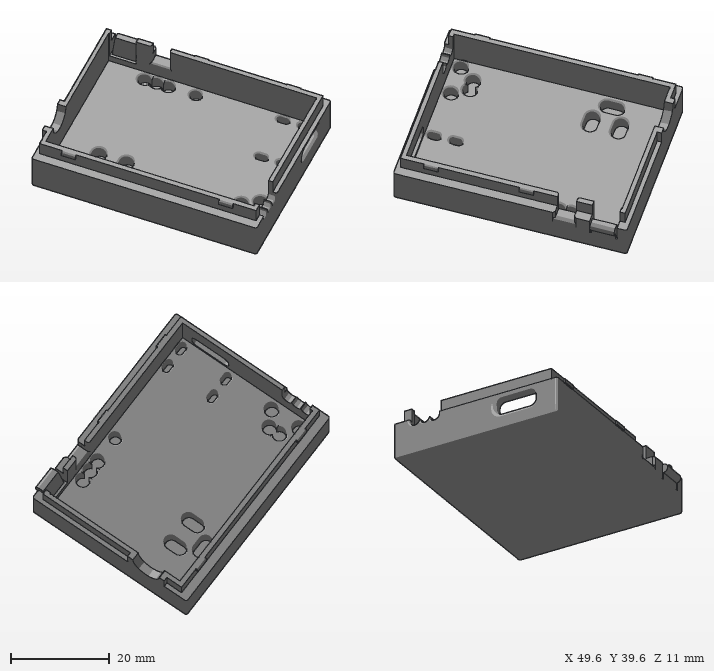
import cadquery as cq
LENGTH = 49.6
WIDTH = 38.6
HEIGHT = 11.0
FLOOR = 3.0
EDGE_RADIUS = 0.5

SIDE_WALL = 1.9
LONG_WALL = 3.05
SIDE_STEP = 0.95
LONG_STEP = 1.95
STEP_Z = 8.05

CABLE_Y = 10.15
CABLE_RADIUS = 3.25
CABLE_BLOCK_Y = (5.6, 14.8)

PLUG_X = 13.3
PLUG_WIDTH = 4.05
PLUG_Z = 6.1
PLUG_SIDE_FLARE = 0.45
PLUG_FLOOR_RADIUS = 0.95
PLUG_INNER_RADIUS = 0.5

LATCH_GAP_X = (2.1, 7.95)
LATCH_CLEARANCE = 0.35
LATCH_GAP_Z = 4.45
LATCH_BUMP_RADIUS = 1.0
LATCH_BUMP_Z = 6.95
LATCH_TOP_DEPTH = 0.95
LATCH_FOOT_DEPTH = 2.45

JACKS = [(9.4, 1.2), (7.15, 1.1), (4.8, 1.1)]
JACK_Z = 7.75
JACK_EDGE_RADIUS = 0.4

WINDOW_Y = 28.6
WINDOW_Z = 5.2
WINDOW_LENGTH = 9.25
WINDOW_HEIGHT = 3.25
WINDOW_CORNER_RADIUS = 1.3
WINDOW_EDGE_RADIUS = 0.95

TAB_LENGTH = 3.1
TAB_HEIGHT = 1.0
FRONT_TAB_REACH = 0.5
BACK_TAB_REACH = 0.4
FRONT_TAB_X = [7.5, 42.1]
BACK_TAB_X = [21.85, 42.1]

POCKET_DEPTH = 2.5
POCKET_RIM = 0.55
SMALL_ROUND = (3.55, 3.55)
ROW_ROUND = (3.85, 3.85)
LARGE_ROUND = (3.95, 3.95)
LARGE_OBLONG = (6.05, 3.95)
SMALL_OBLONG = (3.75, 2.6)
ROW_SPACING = 2.6
OBLONG_OFFSET = 3.05
SMALL_ROUND_CENTRES = [(21.95, 33.75)]
ROW_CENTRES = [(PLUG_X + step * ROW_SPACING, 33.7) for step in (-1, 0, 1)]
LARGE_ROUND_CENTRES = [(45.65, 11.7), (42.2, 9.75), (42.25, 7.35), (45.65, 4.8)]
SMALL_OBLONG_CENTRES = [(x, y) for x in (40.95, 45.65) for y in (23.1, 34.3)]
UPRIGHT_OBLONG_CENTRES = [(PLUG_X + side * OBLONG_OFFSET, CABLE_Y) for side in (-1, 1)]
LYING_OBLONG_CENTRES = [(PLUG_X, 5.5)]

CAVITY_BACK_Y = WIDTH - LONG_WALL
CAVITY_RIGHT_X = LENGTH - SIDE_WALL
LIP_BACK_Y = WIDTH - LONG_STEP

SELECT_MARGIN = 0.05


def box(x, y, z):
    """Box spanning the given (low, high) ranges."""
    size = (x[1] - x[0], y[1] - y[0], z[1] - z[0])
    return cq.Workplane("XY").box(*size, centered=False).translate((x[0], y[0], z[0]))


def bore_half_section(radius, rim, depth):
    """Half section of a bore sunk from z = 0, its rim rounded outwards."""
    return (
        cq.Workplane("XZ")
        .lineTo(radius + rim, 0)
        .radiusArc((radius, -rim), -rim)
        .lineTo(radius, -depth)
        .lineTo(0, -depth)
        .close()
    )


def rounded_bore(radius, rim, depth, straight=0):
    """Bore sunk from z = 0; a straight length above zero stretches it along X."""
    end = bore_half_section(radius, rim, depth).revolve(360, (0, 0, 0), (0, 1, 0))
    if straight == 0:
        return end
    side = bore_half_section(radius, rim, depth).extrude(straight / 2, both=True)
    middle = side.union(side.mirror("YZ")).rotate((0, 0, 0), (0, 0, 1), 90)
    left_end = end.translate((-straight / 2, 0, 0))
    right_end = end.translate((straight / 2, 0, 0))
    return middle.union(left_end).union(right_end)


def tray():
    base = box((0, LENGTH), (0, WIDTH), (0, STEP_Z))
    base = base.edges("|Z").fillet(EDGE_RADIUS)
    base = base.faces("<Z").edges().fillet(EDGE_RADIUS)
    lip = box((SIDE_STEP, LENGTH - SIDE_STEP), (LONG_STEP, LIP_BACK_Y), (FLOOR, HEIGHT))
    cable_block = box((0, SIDE_WALL), CABLE_BLOCK_Y, (FLOOR, HEIGHT))
    cavity = box((SIDE_WALL, CAVITY_RIGHT_X), (LONG_WALL, CAVITY_BACK_Y), (FLOOR, HEIGHT))
    return base.union(lip).union(cable_block).cut(cavity)


def cable_notch():
    return (
        cq.Workplane("YZ")
        .center(CABLE_Y, HEIGHT)
        .circle(CABLE_RADIUS)
        .extrude(SIDE_WALL)
    )


def plug_notch():
    left = PLUG_X - PLUG_WIDTH / 2
    right = PLUG_X + PLUG_WIDTH / 2
    channel = box((left, right), (CAVITY_BACK_Y, WIDTH), (PLUG_Z, HEIGHT))
    side_flare = (
        cq.Workplane("XY", origin=(0, 0, PLUG_Z))
        .moveTo(left - PLUG_SIDE_FLARE, WIDTH)
        .lineTo(left, WIDTH - PLUG_SIDE_FLARE)
        .lineTo(right, WIDTH - PLUG_SIDE_FLARE)
        .lineTo(right + PLUG_SIDE_FLARE, WIDTH)
        .close()
        .extrude(HEIGHT - PLUG_Z)
    )
    floor_flare = (
        cq.Workplane("YZ", origin=(left - PLUG_SIDE_FLARE, 0, 0))
        .moveTo(WIDTH, PLUG_Z)
        .lineTo(WIDTH, PLUG_Z - PLUG_FLOOR_RADIUS)
        .radiusArc((WIDTH - PLUG_FLOOR_RADIUS, PLUG_Z), -PLUG_FLOOR_RADIUS)
        .close()
        .extrude(PLUG_WIDTH + 2 * PLUG_SIDE_FLARE)
    )
    return channel.union(side_flare).union(floor_flare)


def round_plug_notch_inside(body):
    half_width = PLUG_WIDTH / 2 + SELECT_MARGIN
    inner_edges = cq.selectors.BoxSelector(
        (PLUG_X - half_width, CAVITY_BACK_Y - SELECT_MARGIN, PLUG_Z - SELECT_MARGIN),
        (PLUG_X + half_width, CAVITY_BACK_Y + SELECT_MARGIN, HEIGHT - SELECT_MARGIN),
    )
    return body.edges(inner_edges).fillet(PLUG_INNER_RADIUS)


def latch_gap():
    return box(LATCH_GAP_X, (CAVITY_BACK_Y, WIDTH), (LATCH_GAP_Z, HEIGHT))


def latch():
    left = LATCH_GAP_X[0] + LATCH_CLEARANCE
    right = LATCH_GAP_X[1] - LATCH_CLEARANCE
    return (
        cq.Workplane("YZ", origin=(left, 0, 0))
        .moveTo(WIDTH, LATCH_GAP_Z)
        .lineTo(WIDTH, LATCH_BUMP_Z - LATCH_BUMP_RADIUS)
        .threePointArc(
            (WIDTH + LATCH_BUMP_RADIUS, LATCH_BUMP_Z),
            (WIDTH, LATCH_BUMP_Z + LATCH_BUMP_RADIUS),
        )
        .lineTo(WIDTH - LATCH_TOP_DEPTH, LATCH_BUMP_Z + LATCH_BUMP_RADIUS)
        .lineTo(WIDTH - LATCH_FOOT_DEPTH, LATCH_GAP_Z)
        .close()
        .extrude(right - left)
    )


def jack_notch():
    first_y, first_radius = JACKS[0]
    last_y, last_radius = JACKS[-1]
    y_range = (last_y - last_radius, first_y + first_radius)
    notch = box((CAVITY_RIGHT_X, LENGTH), y_range, (JACK_Z, HEIGHT))
    for y, radius in JACKS:
        bore = rounded_bore(radius, JACK_EDGE_RADIUS, SIDE_WALL)
        bore = bore.rotate((0, 0, 0), (0, 1, 0), 90).translate((LENGTH, y, JACK_Z))
        notch = notch.union(bore)
    return notch


def window():
    opening = cq.Workplane("YZ", origin=(CAVITY_RIGHT_X, 0, 0)).center(WINDOW_Y, WINDOW_Z)
    opening = opening.rect(WINDOW_LENGTH, WINDOW_HEIGHT).extrude(SIDE_WALL)
    return opening.edges("|X").fillet(WINDOW_CORNER_RADIUS)


def round_window_outside(body):
    half_length = WINDOW_LENGTH / 2 + SELECT_MARGIN
    half_height = WINDOW_HEIGHT / 2 + SELECT_MARGIN
    outer_edges = cq.selectors.BoxSelector(
        (LENGTH - SELECT_MARGIN, WINDOW_Y - half_length, WINDOW_Z - half_height),
        (LENGTH + SELECT_MARGIN, WINDOW_Y + half_length, WINDOW_Z + half_height),
    )
    return body.edges(outer_edges).fillet(WINDOW_EDGE_RADIUS)


def snap_tab(x, wall_y, reach):
    """Tab with a quarter-round top; a negative reach points towards -Y."""
    tip_y = wall_y + reach
    return (
        cq.Workplane("YZ", origin=(x - TAB_LENGTH / 2, 0, 0))
        .moveTo(wall_y, HEIGHT)
        .radiusArc((tip_y, HEIGHT - abs(reach)), reach)
        .lineTo(tip_y, HEIGHT - TAB_HEIGHT)
        .lineTo(wall_y, HEIGHT - TAB_HEIGHT)
        .close()
        .extrude(TAB_LENGTH)
    )


def pocket(x, y, length, width, angle):
    """Flat-bottomed floor pocket with a rounded rim; equal sides make it round."""
    bore = rounded_bore(width / 2 - POCKET_RIM, POCKET_RIM, POCKET_DEPTH, length - width)
    return bore.rotate((0, 0, 0), (0, 0, 1), angle).translate((x, y, FLOOR))


def floor_pockets():
    cutters = []
    for centres, length, width, angle in [
        (SMALL_ROUND_CENTRES, *SMALL_ROUND, 0),
        (ROW_CENTRES, *ROW_ROUND, 0),
        (LARGE_ROUND_CENTRES, *LARGE_ROUND, 0),
        (SMALL_OBLONG_CENTRES, *SMALL_OBLONG, 0),
        (LYING_OBLONG_CENTRES, *LARGE_OBLONG, 0),
        (UPRIGHT_OBLONG_CENTRES, *LARGE_OBLONG, 90),
    ]:
        cutters += [pocket(x, y, length, width, angle) for x, y in centres]
    return cutters


result = tray().cut(cable_notch()).cut(plug_notch())
result = round_plug_notch_inside(result)
result = result.cut(latch_gap()).union(latch())
result = round_window_outside(result.cut(window()))
result = result.cut(jack_notch())
for tab_x in FRONT_TAB_X:
    result = result.union(snap_tab(tab_x, LONG_STEP, -FRONT_TAB_REACH))
for tab_x in BACK_TAB_X:
    result = result.union(snap_tab(tab_x, LIP_BACK_Y, BACK_TAB_REACH))
for cutter in floor_pockets():
    result = result.cut(cutter)